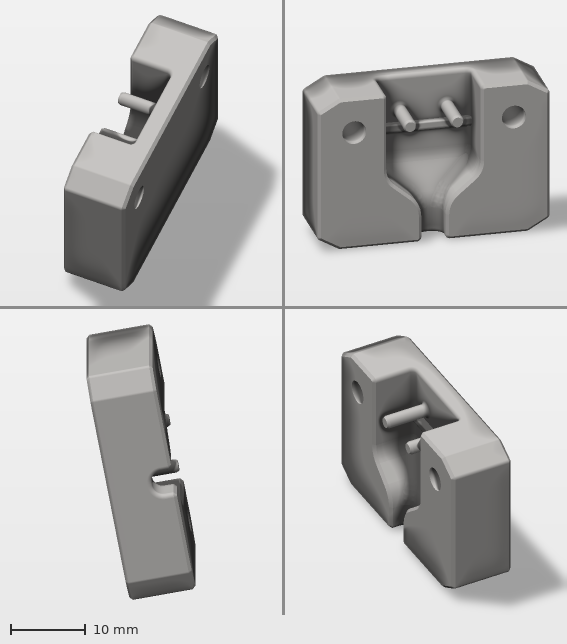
import cadquery as cq
import math

thickness = 9.0
width = 32.0
height = 21.9
corner_cut_width = 3.0
corner_cut_angle = 30
corner_round = 0.5
edge_chamfer = 0.4

axis_height = 16.9
hole_diameter = 3.3
hole_offset = 11.0
pin_diameter = 1.8
pin_offset = 3.25
pin_tip_bevel = 0.2
pin_tip_length = 0.4
pin_root_fillet = 0.4

pocket_half_width = 6.5
pocket_depth = 6.2
channel_half_width = 1.65
channel_depth = 3.0
funnel_top = 10.9
funnel_wall_angle = 50
funnel_ramp_angle = 31
funnel_top_radius = 3.0
funnel_bottom_radius = 4.0
pocket_fillet = 0.6
channel_fillet = 1.5
mouth_fillet = 0.6

rib_top = 15.15
rib_bottom = 13.85
rib_height = 1.0
rib_top_round = 0.2
rib_bottom_round = rib_height / 2

overrun = 1.6
tolerance = 0.03


def plate():
    """Plate with its four corners cut off and the cut edges rounded."""
    side = width / 2
    corner = side - corner_cut_width
    cut_height = corner_cut_width * math.tan(math.radians(corner_cut_angle))
    outline = [
        (side, cut_height),
        (side, height - cut_height),
        (corner, height),
        (-corner, height),
        (-side, height - cut_height),
        (-side, cut_height),
        (-corner, 0),
        (corner, 0),
    ]
    body = cq.Workplane("YZ").polyline(outline).close().extrude(thickness)
    return body.edges("|X").fillet(corner_round)


def pocket_side(wide, narrow, angle_degrees):
    """Points (offset, z) of an S-bend that narrows downward from `wide` to `narrow`."""
    angle = math.radians(angle_degrees)
    bow_top = funnel_top_radius * (1 - math.cos(angle))
    bow_bottom = funnel_bottom_radius * (1 - math.cos(angle))
    slope_top = funnel_top - funnel_top_radius * math.sin(angle)
    slope_run = wide - narrow - bow_top - bow_bottom
    slope_bottom = slope_top - slope_run / math.tan(angle)
    bend_end = slope_bottom - funnel_bottom_radius * math.sin(angle)
    return [
        (wide, height + overrun),
        (wide, funnel_top),
        (wide - bow_top, slope_top),
        (narrow + bow_bottom, slope_bottom),
        (narrow, bend_end),
        (narrow, -overrun),
    ]


def throat_side(wide, narrow, angle_degrees):
    """The same side with its slope running on straight past the top of the plate."""
    lower_points = pocket_side(wide, narrow, angle_degrees)[3:]
    offset, slope_bottom = lower_points[0]
    rise = height + overrun - slope_bottom
    slope_end = offset + rise * math.tan(math.radians(angle_degrees))
    return [(slope_end, height + overrun)] + lower_points


def draw_side(sketch, points):
    """Continue a sketch along a side, alternating straight lines and tangent bends."""
    for index, point in enumerate(points[1:]):
        if index % 2 == 0:
            sketch = sketch.lineTo(*point)
        else:
            sketch = sketch.tangentArcPoint(point, relative=False)
    return sketch


def hollow(side, floor_fillet):
    """Volume between two mirrored walls and a floor, rounded where they meet."""
    right = side(pocket_half_width, channel_half_width, funnel_wall_angle)
    left = [(-y, z) for y, z in reversed(right)]
    outline = draw_side(cq.Workplane("YZ").moveTo(*right[0]), right)
    outline = draw_side(outline.lineTo(*left[0]), left).close()

    floor = side(pocket_depth, channel_depth, funnel_ramp_angle)
    profile = draw_side(cq.Workplane("XZ").moveTo(*floor[0]), floor)
    profile = profile.lineTo(0, -overrun).lineTo(0, height + overrun).close()

    deepest = floor[0][0]
    volume = outline.extrude(deepest).intersect(profile.extrude(width, both=True))

    def is_floor_corner(edge):
        box = edge.BoundingBox()
        return box.zlen > tolerance and box.xmin > channel_depth - tolerance

    corners = [edge for edge in volume.edges().vals() if is_floor_corner(edge)]
    return volume.newObject(corners).fillet(floor_fillet)


def cavity():
    """Pocket and channel; the throat leaves a fuller fillet along funnel and channel."""
    return hollow(pocket_side, pocket_fillet).intersect(hollow(throat_side, channel_fillet))


def round_mouths(body):
    """Round the cavity's edges in the top and bottom faces of the plate."""

    def is_mouth_edge(edge):
        box = edge.BoundingBox()
        level = box.zmin > height - tolerance or box.zmax < tolerance
        within_cavity = max(-box.ymin, box.ymax) < pocket_half_width + tolerance
        within_plate = tolerance < edge.Center().x < thickness - tolerance
        return level and within_cavity and within_plate

    mouths = [edge for edge in body.edges().vals() if is_mouth_edge(edge)]
    return body.newObject(mouths).fillet(mouth_fillet)


def rib():
    """Rib with a rounded crest, its lower edge flowing into the pocket floor."""
    crest = pocket_depth - rib_height
    base = pocket_depth + overrun
    foot = rib_bottom - rib_bottom_round
    profile = (
        cq.Workplane("XZ")
        .moveTo(base, rib_top)
        .lineTo(crest + rib_top_round, rib_top)
        .tangentArcPoint((crest, rib_top - rib_top_round), relative=False)
        .lineTo(crest, rib_bottom + rib_bottom_round)
        .tangentArcPoint((crest + rib_bottom_round, rib_bottom), relative=False)
        .tangentArcPoint((pocket_depth, foot), relative=False)
        .lineTo(base, foot)
        .close()
    )
    return profile.extrude(pocket_half_width, both=True)


def pin():
    """Pin along X with a bevelled tip and a flared root."""
    radius = pin_diameter / 2
    base = pocket_depth + overrun
    root_radius = radius + pin_root_fillet
    profile = (
        cq.Workplane("XY")
        .lineTo(0, radius - pin_tip_bevel)
        .lineTo(pin_tip_length, radius)
        .lineTo(pocket_depth - pin_root_fillet, radius)
        .tangentArcPoint((pocket_depth, root_radius), relative=False)
        .lineTo(base, root_radius)
        .lineTo(base, 0)
        .close()
    )
    return profile.revolve(360, (0, 0, 0), (1, 0, 0))


body = round_mouths(plate().cut(cavity()))
body = body.faces("<X or >X").chamfer(edge_chamfer)
body = body.union(rib())
for direction in (-1, 1):
    hole = cq.Workplane("YZ").circle(hole_diameter / 2).extrude(thickness)
    body = body.cut(hole.translate((0, direction * hole_offset, axis_height)))
    body = body.union(pin().translate((0, direction * pin_offset, axis_height)))

result = body.solids()